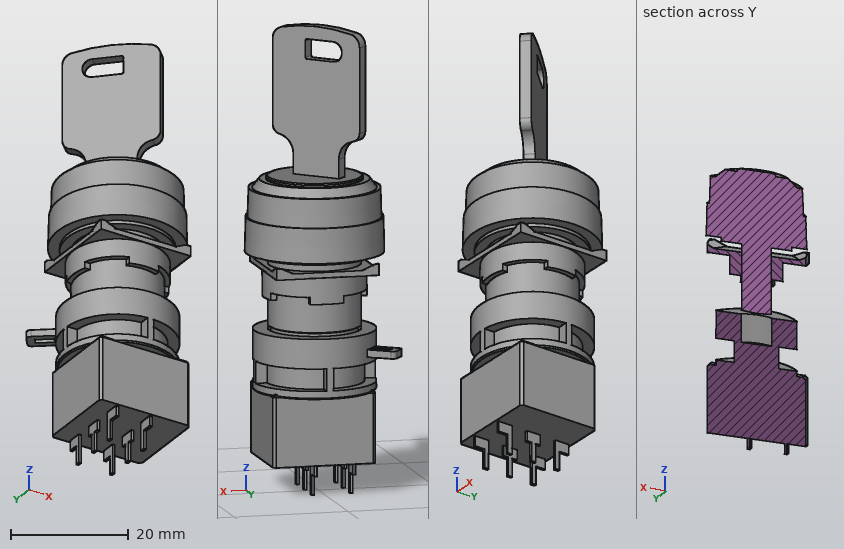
import cadquery as cq
import math


terminal_step_z = 3.5
block_bottom_z = 5.5
socket_bottom_z = 17.6
block_top_z = 18.1
window_bottom_z = 19.05
window_top_z = 22.9
lever_bottom_z = 24.05
lever_top_z = 25.3
bore_floor_z = window_top_z
socket_top_z = 28.1
neck_bottom_z = 28.7
tab_bottom_z = 33.8
collar_bottom_z = 35.0
plate_bottom_z = 38.35
plate_recess_z = 39.3
plate_top_z = 40.3
gasket_bottom_z = 40.8
bezel_bottom_z = 41.4
bezel_step_z = 47.45
bezel_ledge_z = 52.4
bezel_top_z = 53.95
core_top_z = 54.5
key_neck_top_z = 58.0
key_hole_bottom_z = 74.6
key_hole_top_z = 78.1
key_top_z = 80.4

tail_radius = 7.4
neck_radius = 8.0
neck_taper_height = 0.25
gasket_radius = 9.9
bezel_lower_radius = 11.9
bezel_upper_radius = 11.4
bezel_draft = 0.2
bezel_slope_base_radius = 10.6
bezel_top_radius = 9.4
core_radius = 8.3
core_chamfer = 0.25

key_angle = -45.0
key_shift = -0.9
key_thickness = 2.0
key_bow_width = 17.1
key_neck_width = 9.0
key_crown_drop = 1.1
key_corner_radius = 2.2
key_inner_radius = 3.2
key_outer_radius = 1.7
key_hole_left = -5.1
key_hole_right = 2.1
key_hole_corner_radius = 0.3

collar_radius = 8.9
plate_side = 18.0
recess_floor_radius = 10.8
recess_rim_radius = 12.15
tab_width = 5.9

socket_radius = 10.5
socket_chamfer = 0.25
bore_radius = 8.0
window_radius = 8.5
rib_width = 1.2
block_length = 18.0
block_width = 15.8
block_shift_y = -1.0
block_chamfer = 0.5
lever_angle = 143.0
lever_length = 15.5
lever_width = 3.5
lever_corner_radius = 0.8
lever_slot_start = 10.8
lever_slot_end = 14.1
lever_slot_width = 1.1
terminal_thickness = 0.5
terminal_columns_x = (-5.3, 1.45)
terminal_pitch_y = 5.0
terminal_tip_width = 0.9
terminal_root_width = 2.8


def disc(radius, bottom, top):
    """Round slab about the Z axis between two heights."""
    return cq.Workplane("XY").workplane(offset=bottom).circle(radius).extrude(top - bottom)


def box(length, width, bottom, top, center_x=0.0, center_y=0.0):
    """Rectangular slab between two heights."""
    base = cq.Workplane("XY").workplane(offset=bottom).center(center_x, center_y)
    return base.rect(length, width).extrude(top - bottom)


def cone(bottom_radius, top_radius, bottom, top):
    """Truncated cone about the Z axis between two heights."""
    profile = [(0, bottom), (bottom_radius, bottom), (top_radius, top), (0, top)]
    return cq.Workplane("XZ").polyline(profile).close().revolve(360, (0, 0), (0, 1))


def drafted_disc(radius, bottom, top):
    """Bezel tier that narrows slightly toward its top."""
    return cone(radius, radius - bezel_draft, bottom, top)


def make_key():
    """Flat key: crowned bow on a narrower neck, with a hole that is round at one end."""
    half_bow = key_bow_width / 2
    half_neck = key_neck_width / 2
    crown_edge_z = key_top_z - key_crown_drop

    inner_center_x = half_neck + key_inner_radius
    outer_center_x = half_bow - key_outer_radius
    center_gap = key_inner_radius + key_outer_radius
    center_run = inner_center_x - outer_center_x
    center_rise = math.sqrt(center_gap**2 - center_run**2)
    outer_center_z = key_neck_top_z + center_rise
    to_outer = math.atan2(center_rise, -center_run)

    def inner_point(angle):
        return (
            inner_center_x + key_inner_radius * math.cos(angle),
            key_neck_top_z + key_inner_radius * math.sin(angle),
        )

    def outer_point(angle):
        return (
            outer_center_x + key_outer_radius * math.cos(angle),
            outer_center_z + key_outer_radius * math.sin(angle),
        )

    def mirrored(point):
        return (-point[0], point[1])

    tangent = inner_point(to_outer)
    inner_mid = inner_point((math.pi + to_outer) / 2)
    outer_mid = outer_point((to_outer - math.pi) / 2)
    bow_start = (half_bow, outer_center_z)

    blank = (
        cq.Workplane("XZ")
        .moveTo(-half_neck, core_top_z)
        .lineTo(half_neck, core_top_z)
        .lineTo(half_neck, key_neck_top_z)
        .threePointArc(inner_mid, tangent)
        .threePointArc(outer_mid, bow_start)
        .lineTo(half_bow, crown_edge_z)
        .threePointArc((0, key_top_z), (-half_bow, crown_edge_z))
        .lineTo(*mirrored(bow_start))
        .threePointArc(mirrored(outer_mid), mirrored(tangent))
        .threePointArc(mirrored(inner_mid), (-half_neck, key_neck_top_z))
        .close()
        .extrude(key_thickness / 2, both=True)
    )
    crown_corners = cq.selectors.BoxSelector(
        (-key_bow_width, -key_thickness, crown_edge_z - key_corner_radius),
        (key_bow_width, key_thickness, crown_edge_z + key_crown_drop / 2),
    )
    blank = blank.edges("|Y").edges(crown_corners).fillet(key_corner_radius)

    hole_radius = (key_hole_top_z - key_hole_bottom_z) / 2
    hole_arc_x = key_hole_left + hole_radius
    hole = (
        cq.Workplane("XZ")
        .moveTo(hole_arc_x, key_hole_bottom_z)
        .lineTo(key_hole_right, key_hole_bottom_z)
        .lineTo(key_hole_right, key_hole_top_z)
        .lineTo(hole_arc_x, key_hole_top_z)
        .threePointArc(
            (key_hole_left, key_hole_bottom_z + hole_radius),
            (hole_arc_x, key_hole_bottom_z),
        )
        .close()
        .extrude(key_thickness, both=True)
        .edges("|Y and >X")
        .fillet(key_hole_corner_radius)
    )
    key = blank.cut(hole).translate((key_shift, 0, 0))
    return key.rotate((0, 0, 0), (0, 0, 1), key_angle)


def make_operator():
    """Neck, gasket, stepped bezel, lock core and key, as one solid."""
    taper_bottom_z = neck_bottom_z - neck_taper_height
    tail = disc(tail_radius, bore_floor_z, taper_bottom_z)
    taper = cone(tail_radius, neck_radius, taper_bottom_z, neck_bottom_z)
    neck = disc(neck_radius, neck_bottom_z, gasket_bottom_z)
    gasket = disc(gasket_radius, gasket_bottom_z, bezel_bottom_z)
    bezel_lower = drafted_disc(bezel_lower_radius, bezel_bottom_z, bezel_step_z)
    bezel_upper = drafted_disc(bezel_upper_radius, bezel_step_z, bezel_ledge_z)
    bezel_slope = cone(bezel_slope_base_radius, bezel_top_radius, bezel_ledge_z, bezel_top_z)
    core = disc(core_radius, bezel_top_z, core_top_z).faces(">Z").chamfer(core_chamfer)
    body = tail.union(taper).union(neck).union(gasket).union(bezel_lower)
    return body.union(bezel_upper).union(bezel_slope).union(core).union(make_key())


def make_locking_ring():
    """Square plate with a dished top on a round collar with four tabs below."""
    plate = box(plate_side, plate_side, plate_bottom_z, plate_top_z)
    dish = cone(recess_floor_radius, recess_rim_radius, plate_recess_z, plate_top_z)
    ring = plate.cut(dish).union(disc(collar_radius, collar_bottom_z, plate_bottom_z))

    cross = box(2 * plate_side, tab_width, tab_bottom_z, collar_bottom_z)
    cross = cross.union(box(tab_width, 2 * plate_side, tab_bottom_z, collar_bottom_z))
    tabs = disc(collar_radius, tab_bottom_z, collar_bottom_z).intersect(cross)
    return ring.union(tabs).cut(disc(neck_radius, tab_bottom_z, plate_top_z))


def make_socket():
    """Round socket with four windows between ribs."""
    socket = disc(socket_radius, socket_bottom_z, socket_top_z).faces("<Z").chamfer(socket_chamfer)
    windows = disc(2 * socket_radius, window_bottom_z, window_top_z)
    windows = windows.cut(disc(window_radius, window_bottom_z, window_top_z))
    for length, width in ((rib_width, 4 * socket_radius), (4 * socket_radius, rib_width)):
        windows = windows.cut(box(length, width, window_bottom_z, window_top_z))
    return socket.cut(windows)


def make_lever():
    """Slotted release lever that sticks out of the socket."""
    lever = box(lever_length, lever_width, lever_bottom_z, lever_top_z, lever_length / 2)
    lever = lever.edges("|Z and >X").fillet(lever_corner_radius)
    slot_length = lever_slot_end - lever_slot_start
    slot_center = (lever_slot_start + lever_slot_end) / 2
    lever = lever.cut(box(slot_length, lever_slot_width, lever_bottom_z, lever_top_z, slot_center))
    return lever.rotate((0, 0, 0), (0, 0, 1), lever_angle)


def make_terminal(column_x, row):
    """Flat terminal; the tip lies at the inner side of the root, or centred in the middle row."""
    tip_y = block_shift_y + row * terminal_pitch_y
    root_y = tip_y + row * (terminal_root_width - terminal_tip_width) / 2
    tip = box(terminal_thickness, terminal_tip_width, 0, terminal_step_z, column_x, tip_y)
    root = box(
        terminal_thickness, terminal_root_width, terminal_step_z, block_bottom_z, column_x, root_y
    )
    return tip.union(root)


def make_contact_block():
    """Rectangular block with its socket, release lever and six terminals, as one solid."""
    block = box(block_length, block_width, block_bottom_z, block_top_z, center_y=block_shift_y)
    block = block.edges("|Z or >Z").chamfer(block_chamfer)
    block = block.union(make_socket()).union(make_lever())
    block = block.cut(disc(bore_radius, bore_floor_z, socket_top_z))
    for column_x in terminal_columns_x:
        for row in (-1, 0, 1):
            block = block.union(make_terminal(column_x, row))
    return block


operator = make_operator()
locking_ring = make_locking_ring()
contact_block = make_contact_block()

result = cq.Compound.makeCompound([operator.val(), locking_ring.val(), contact_block.val()])